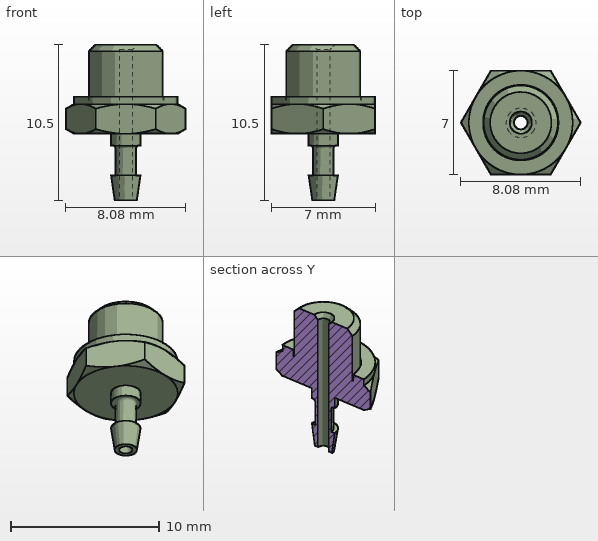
import cadquery as cq
import math


shank_dia = 5.0
shank_length = 3.5
shank_tip_dia = 4.134

hex_across_flats = 7.0
hex_height = 2.0
hex_chamfer_angle = 30.0
washer_dia = hex_across_flats
washer_bore_dia = 5.1
washer_thickness = 0.5

collar_dia = 2.0
collar_length = 0.8
stem_dia = 1.4
stem_length = 2.0
stem_fillet = 0.2
barb_length = 1.7
barb_root_dia = 2.0
barb_tip_dia = 1.5

bore_dia = 0.9
countersink_dia = 1.5

shank_top = shank_length
hex_top = -washer_thickness
hex_bottom = hex_top - hex_height
collar_bottom = hex_bottom - collar_length
barb_top = collar_bottom - stem_length
barb_bottom = barb_top - barb_length


def cylinder(dia, bottom, top):
    return cq.Workplane("XY").workplane(offset=bottom).circle(dia / 2).extrude(top - bottom)


def make_shank():
    tip_chamfer = (shank_dia - shank_tip_dia) / 2
    return cylinder(shank_dia, hex_top, shank_top).faces(">Z").chamfer(tip_chamfer)


def make_washer():
    ring = cylinder(washer_dia, hex_top, 0)
    return ring.cut(cylinder(washer_bore_dia, hex_top, 0))


def make_hexagon():
    """Hexagon with its corners on the X axis, chamfered conically at both ends."""
    corner_radius = hex_across_flats / math.sqrt(3)
    face_radius = hex_across_flats / 2
    chamfer_drop = (corner_radius - face_radius) * math.tan(math.radians(hex_chamfer_angle))
    prism = (
        cq.Workplane("XY")
        .workplane(offset=hex_bottom)
        .polygon(6, 2 * corner_radius)
        .extrude(hex_height)
    )
    chamfer_envelope = (
        cq.Workplane("XZ")
        .moveTo(0, hex_bottom)
        .lineTo(face_radius, hex_bottom)
        .lineTo(corner_radius, hex_bottom + chamfer_drop)
        .lineTo(corner_radius, hex_top - chamfer_drop)
        .lineTo(face_radius, hex_top)
        .lineTo(0, hex_top)
        .close()
        .revolve(360, (0, 0, 0), (0, 1, 0))
    )
    return prism.intersect(chamfer_envelope)


def make_nipple():
    """Collar, filleted stem and tapered barb as one revolved profile."""
    stem_radius = stem_dia / 2
    return (
        cq.Workplane("XZ")
        .moveTo(0, hex_bottom)
        .lineTo(collar_dia / 2, hex_bottom)
        .lineTo(collar_dia / 2, collar_bottom)
        .lineTo(stem_radius + stem_fillet, collar_bottom)
        .radiusArc((stem_radius, collar_bottom - stem_fillet), -stem_fillet)
        .lineTo(stem_radius, barb_top)
        .lineTo(barb_root_dia / 2, barb_top)
        .lineTo(barb_tip_dia / 2, barb_bottom)
        .lineTo(0, barb_bottom)
        .close()
        .revolve(360, (0, 0, 0), (0, 1, 0))
    )


def make_bore():
    """Through bore with a 45 degree countersink at the shank end."""
    countersink_depth = (countersink_dia - bore_dia) / 2
    return (
        cq.Workplane("XZ")
        .moveTo(0, barb_bottom)
        .lineTo(bore_dia / 2, barb_bottom)
        .lineTo(bore_dia / 2, shank_top - countersink_depth)
        .lineTo(countersink_dia / 2, shank_top)
        .lineTo(0, shank_top)
        .close()
        .revolve(360, (0, 0, 0), (0, 1, 0))
    )


body = make_hexagon().union(make_shank()).union(make_washer()).union(make_nipple())
result = body.cut(make_bore())